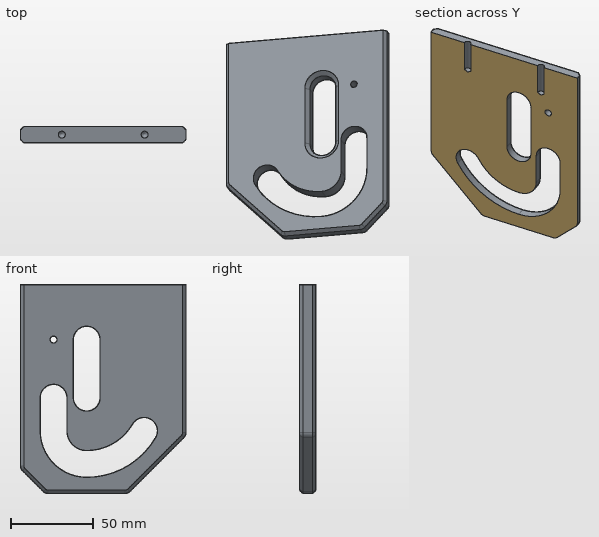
import cadquery as cq
import math

width = 100.0
height = 126.1
thickness = 10.0
left_cut = 15.0
right_cut = 35.0
corner_radius = 4.0
edge_chamfer = 2.0

slot_width = 16.0
slot_radius = slot_width / 2
pivot_x = width * 0.4
sweep_radius = pivot_x
sweep_angle = math.radians(60)
bend_radius = sweep_radius / 2
pivot_z = 57.9
slot_chamfer = 2.5
slot_travel = 35.0

pin_diameter = 4.0
top_hole_diameter = 4.2
top_hole_depth = 20.0
top_hole_inset = width / 4
drill_point_angle = math.radians(118)


def front_plane():
    """Workplane on the mid-plane of the plate, with local axes X and Z."""
    return cq.Workplane("XZ")


def make_plate():
    outline = [
        (0, height),
        (0, left_cut),
        (left_cut, 0),
        (width - right_cut, 0),
        (width, right_cut),
        (width, height),
    ]
    plate = front_plane().polyline(outline).close().extrude(thickness / 2, both=True)
    lower_corners = cq.selectors.BoxSelector(
        (-1.3, -thickness, -1.3), (width + 1.3, thickness, height / 2)
    )
    plate = plate.edges("|Y").edges(lower_corners).fillet(corner_radius)
    return plate.faces("|Y").edges("not(>Z)").chamfer(edge_chamfer)


def slot_profile(slot_plane, profile_width):
    return slot_plane.center(pivot_x, pivot_z + slot_travel / 2).slot2D(
        slot_travel + profile_width, profile_width, 90
    )


def make_straight_slot():
    """Through slot with its rim chamfered on the back (+Y) face."""
    slot = slot_profile(front_plane(), slot_width).extrude(thickness, both=True)
    back_plane = front_plane().workplane(offset=-thickness / 2)
    flare = slot_profile(back_plane, slot_width + 2 * slot_chamfer).extrude(slot_chamfer, taper=45)
    return slot.union(flare)


def make_curved_slot():
    """J-shaped slot: a vertical arm, a quarter bend, then an arc about the pivot."""
    bend_z = pivot_z - sweep_radius + bend_radius
    arm_x = pivot_x - bend_radius

    def on_sweep(radius, angle):
        return (pivot_x + radius * math.sin(angle), pivot_z - radius * math.cos(angle))

    def on_bend(radius):
        offset = radius * math.sqrt(0.5)
        return (pivot_x - offset, bend_z - offset)

    outer_sweep = sweep_radius + slot_radius
    inner_sweep = sweep_radius - slot_radius
    end_x, end_z = on_sweep(sweep_radius, sweep_angle)
    end_tip = (
        end_x + slot_radius * math.cos(sweep_angle),
        end_z + slot_radius * math.sin(sweep_angle),
    )
    return (
        front_plane()
        .moveTo(arm_x - slot_radius, pivot_z)
        .lineTo(arm_x - slot_radius, bend_z)
        .threePointArc(on_bend(bend_radius + slot_radius), on_sweep(outer_sweep, 0))
        .threePointArc(on_sweep(outer_sweep, sweep_angle / 2), on_sweep(outer_sweep, sweep_angle))
        .threePointArc(end_tip, on_sweep(inner_sweep, sweep_angle))
        .threePointArc(on_sweep(inner_sweep, sweep_angle / 2), on_sweep(inner_sweep, 0))
        .threePointArc(on_bend(bend_radius - slot_radius), (arm_x + slot_radius, bend_z))
        .lineTo(arm_x + slot_radius, pivot_z)
        .threePointArc((arm_x, pivot_z + slot_radius), (arm_x - slot_radius, pivot_z))
        .close()
        .extrude(thickness, both=True)
    )


def make_pin_hole():
    """Through hole above the curved slot's arm, level with the straight slot's top centre."""
    return (
        front_plane()
        .center(pivot_x - bend_radius, pivot_z + slot_travel)
        .circle(pin_diameter / 2)
        .extrude(thickness, both=True)
    )


def make_top_hole(x):
    """Blind hole drilled down from the top edge, with a conical bottom."""
    radius = top_hole_diameter / 2
    floor_z = height - top_hole_depth
    tip_z = floor_z - radius / math.tan(drill_point_angle / 2)
    profile = [(0, tip_z), (radius, floor_z), (radius, height), (0, height)]
    hole = front_plane().polyline(profile).close().revolve(360, (0, 0), (0, 1))
    return hole.translate((x, 0, 0))


result = make_plate().cut(make_straight_slot()).cut(make_curved_slot()).cut(make_pin_hole())
for hole_x in (top_hole_inset, width - top_hole_inset):
    result = result.cut(make_top_hole(hole_x))